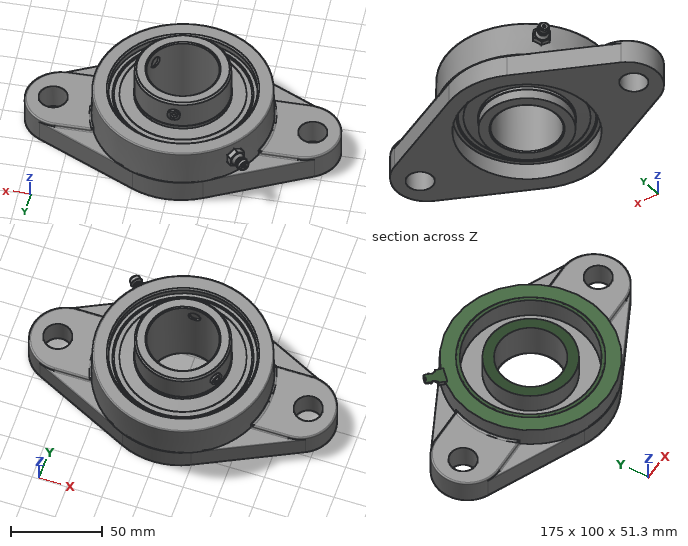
import cadquery as cq
import math

LENGTH = 175.0
WIDTH = 100.0
FLANGE_HEIGHT = 13.6
FLANGE_EDGE_FILLET = 0.4
SIDE_ARC_RADIUS = 45.0
EAR_RADIUS = 20.1
PAD_HEIGHT = 15.5
PAD_EDGE_FILLET = 0.9
PAD_FOOT_FILLET = 0.5
BOLT_HOLE_DIAMETER = 16.0
BOLT_SPACING = 143.8
BODY_HEIGHT = 35.9
BODY_FOOT_DIAMETER = WIDTH
BODY_TOP_DIAMETER = 98.9
BODY_TOP_FILLET = 0.7
BODY_ROOT_FILLET = 1.0
HOUSING_BORE_DIAMETER = 81.2
HOUSING_BORE_MOUTH_DIAMETER = 83.1

ear_offset = LENGTH / 2 - EAR_RADIUS
side_arc_offset = WIDTH / 2 - SIDE_ARC_RADIUS
body_foot_radius = BODY_FOOT_DIAMETER / 2
housing_bore_radius = HOUSING_BORE_DIAMETER / 2

BEARING_CENTER_Z = 21.0
OUTER_RING_WIDTH = 21.0
OUTER_RING_BORE_DIAMETER = 77.0
INNER_RING_TOP = 51.3
INNER_RING_BOTTOM = 2.0
INNER_RING_BORE_DIAMETER = 39.7
INNER_RING_DIAMETER = 52.8
INNER_RING_CHAMFER = 1.0
BORE_CHAMFER = 0.7

outer_ring_bottom = BEARING_CENTER_Z - OUTER_RING_WIDTH / 2
outer_ring_top = BEARING_CENTER_Z + OUTER_RING_WIDTH / 2
outer_ring_bore_radius = OUTER_RING_BORE_DIAMETER / 2
inner_ring_radius = INNER_RING_DIAMETER / 2

SEAL_THICKNESS = 1.8
SEAL_RIM_DIAMETER = 75.2
SEAL_RIM_GROOVE_DEPTH = 0.5
SEAL_DISC_DIAMETER = 69.3
SEAL_DISC_EDGE = 0.4
SEAL_DISC_RISE = 0.4
SEAL_LIP_DIAMETER = 53.5
SEAL_LIP_HEIGHT = 2.6

SCREW_DIAMETER = 6.8
SCREW_HEIGHT = 43.0
SCREW_ANGLES = (90, -30)
SCREW_INNER_END = 21.0
SCREW_OUTER_END = 27.8
SOCKET_ACROSS_CORNERS = 4.2
SOCKET_DEPTH = 1.8

NIPPLE_ANGLE = 135
NIPPLE_HEIGHT = 25.9
NIPPLE_HEX_ACROSS_CORNERS = 10.5
NIPPLE_SEAT = 48.1
NIPPLE_HEX_END = 52.7
NIPPLE_CONE_DIAMETER = 7.9
NIPPLE_CONE_END = 54.6
NIPPLE_NECK_DIAMETER = 5.2
NIPPLE_NECK_END = 55.6
NIPPLE_RIDGE_DIAMETER = 6.8
NIPPLE_RIDGE = 56.7
NIPPLE_HEAD_DIAMETER = 6.0
NIPPLE_HEAD_START = 57.0
NIPPLE_TIP = 59.8
NIPPLE_TIP_CHAMFER = 0.7
NIPPLE_HOLE_DIAMETER = 1.5
NIPPLE_HOLE_DEPTH = 0.9


def ring_solid(half_section):
    """Solid of revolution about Z from (radius, height) points."""
    return cq.Workplane("YZ").polyline(half_section).close().revolve(360, (0, 0), (0, 1))


def outward(angle):
    """Horizontal unit vector at the given angle from +X."""
    return (math.cos(math.radians(angle)), math.sin(math.radians(angle)), 0)


def radial_plane(angle, distance, height):
    """Workplane facing away from the Z axis, with its local X pointing up."""
    direction = outward(angle)
    origin = (distance * direction[0], distance * direction[1], height)
    return cq.Workplane(cq.Plane(origin=origin, xDir=(0, 0, 1), normal=direction))


def flange():
    """Rhomboid flange: ear arcs joined to the wide side arcs by their common tangents."""
    center_distance = math.hypot(ear_offset, side_arc_offset)
    angle = (
        math.atan2(side_arc_offset, ear_offset)
        + math.asin((SIDE_ARC_RADIUS - EAR_RADIUS) / center_distance)
    )
    ear_x = ear_offset + EAR_RADIUS * math.sin(angle)
    ear_y = EAR_RADIUS * math.cos(angle)
    side_x = SIDE_ARC_RADIUS * math.sin(angle)
    side_y = side_arc_offset + SIDE_ARC_RADIUS * math.cos(angle)
    return (
        cq.Workplane("XY")
        .moveTo(ear_x, -ear_y)
        .threePointArc((LENGTH / 2, 0), (ear_x, ear_y))
        .lineTo(side_x, side_y)
        .threePointArc((0, WIDTH / 2), (-side_x, side_y))
        .lineTo(-ear_x, ear_y)
        .threePointArc((-LENGTH / 2, 0), (-ear_x, -ear_y))
        .lineTo(-side_x, -side_y)
        .threePointArc((0, -WIDTH / 2), (side_x, -side_y))
        .close()
        .extrude(FLANGE_HEIGHT)
        .faces(">Z")
        .edges()
        .fillet(FLANGE_EDGE_FILLET)
    )


def pad():
    """Raised strip along the flange, with rounded ends flush with the ears."""
    return (
        cq.Workplane("XY")
        .slot2D(LENGTH, 2 * EAR_RADIUS)
        .extrude(PAD_HEIGHT)
        .faces(">Z")
        .edges()
        .fillet(PAD_EDGE_FILLET)
    )


def pad_foot():
    """Concave fillet along the foot of the +Y side of the pad."""
    return (
        cq.Workplane("YZ", origin=(-ear_offset, 0, 0))
        .moveTo(EAR_RADIUS, FLANGE_HEIGHT)
        .lineTo(EAR_RADIUS + PAD_FOOT_FILLET, FLANGE_HEIGHT)
        .radiusArc((EAR_RADIUS, FLANGE_HEIGHT + PAD_FOOT_FILLET), PAD_FOOT_FILLET)
        .close()
        .extrude(2 * ear_offset)
    )


def tapered_body():
    """Round body standing on the flange, rounded at its top edge."""
    body = ring_solid([
        (0, FLANGE_HEIGHT),
        (body_foot_radius, FLANGE_HEIGHT),
        (BODY_TOP_DIAMETER / 2, BODY_HEIGHT),
        (0, BODY_HEIGHT),
    ])
    return body.faces(">Z").edges().fillet(BODY_TOP_FILLET)


def body_root():
    """Concave fillet where the body meets the top of the pad."""
    inside = body_foot_radius - BODY_ROOT_FILLET
    ring = (
        cq.Workplane("YZ")
        .moveTo(inside, PAD_HEIGHT)
        .lineTo(body_foot_radius + BODY_ROOT_FILLET, PAD_HEIGHT)
        .radiusArc((body_foot_radius, PAD_HEIGHT + BODY_ROOT_FILLET), BODY_ROOT_FILLET)
        .lineTo(inside, PAD_HEIGHT + BODY_ROOT_FILLET)
        .close()
        .revolve(360, (0, 0), (0, 1))
    )
    pad_strip = cq.Workplane("XY").rect(LENGTH, 2 * EAR_RADIUS).extrude(BODY_HEIGHT)
    return ring.intersect(pad_strip)


def housing_bore():
    """Through bore for the outer ring, widened to a chamfered mouth at the top."""
    mouth_radius = HOUSING_BORE_MOUTH_DIAMETER / 2
    mouth_chamfer = mouth_radius - housing_bore_radius
    return ring_solid([
        (0, 0),
        (housing_bore_radius, 0),
        (housing_bore_radius, BODY_HEIGHT - mouth_chamfer),
        (mouth_radius, BODY_HEIGHT),
        (0, BODY_HEIGHT),
    ])


def bolt_holes():
    return (
        cq.Workplane("XY")
        .rarray(BOLT_SPACING, 1.8, 2, 1)
        .circle(BOLT_HOLE_DIAMETER / 2)
        .extrude(PAD_HEIGHT)
    )


def make_housing(nipple):
    """Housing with a seat that fits the hexagon of the grease nipple."""
    foot = pad_foot()
    return (
        flange()
        .union(pad())
        .union(foot)
        .union(foot.mirror("XZ"))
        .union(tapered_body())
        .union(body_root())
        .cut(housing_bore())
        .cut(bolt_holes())
        .cut(nipple)
    )


def make_outer_ring():
    return (
        cq.Workplane("XY", origin=(0, 0, outer_ring_bottom))
        .circle(housing_bore_radius)
        .circle(outer_ring_bore_radius)
        .extrude(OUTER_RING_WIDTH)
    )


def make_inner_ring():
    """Long sleeve with a chamfered bore and a threaded-size hole for each set screw."""
    bore_radius = INNER_RING_BORE_DIAMETER / 2
    ring = ring_solid([
        (bore_radius + BORE_CHAMFER, INNER_RING_BOTTOM),
        (inner_ring_radius, INNER_RING_BOTTOM),
        (inner_ring_radius, INNER_RING_TOP - INNER_RING_CHAMFER),
        (inner_ring_radius - INNER_RING_CHAMFER, INNER_RING_TOP),
        (bore_radius + BORE_CHAMFER, INNER_RING_TOP),
        (bore_radius, INNER_RING_TOP - BORE_CHAMFER),
        (bore_radius, INNER_RING_BOTTOM + BORE_CHAMFER),
    ])
    for angle in SCREW_ANGLES:
        hole = radial_plane(angle, 0, SCREW_HEIGHT).circle(SCREW_DIAMETER / 2)
        ring = ring.cut(hole.extrude(INNER_RING_DIAMETER))
    return ring


def make_top_seal():
    """Seal with a grooved rim, a slightly conical raised disc and a lip around the inner ring."""
    rim_radius = SEAL_RIM_DIAMETER / 2
    disc_radius = SEAL_DISC_DIAMETER / 2
    lip_radius = SEAL_LIP_DIAMETER / 2
    seal_bottom = outer_ring_top - SEAL_THICKNESS
    groove_floor = outer_ring_top - SEAL_RIM_GROOVE_DEPTH
    disc_edge_top = outer_ring_top + SEAL_DISC_EDGE
    lip_top = outer_ring_top + SEAL_LIP_HEIGHT
    return ring_solid([
        (inner_ring_radius, seal_bottom),
        (outer_ring_bore_radius, seal_bottom),
        (outer_ring_bore_radius, groove_floor),
        (rim_radius, groove_floor),
        (rim_radius, outer_ring_top),
        (disc_radius, outer_ring_top),
        (disc_radius, disc_edge_top),
        (lip_radius, disc_edge_top + SEAL_DISC_RISE),
        (lip_radius, lip_top),
        (inner_ring_radius, lip_top),
    ])


def make_set_screw(angle):
    """Headless screw with a hexagon socket in its outer end."""
    body = (
        radial_plane(angle, SCREW_INNER_END, SCREW_HEIGHT)
        .circle(SCREW_DIAMETER / 2)
        .extrude(SCREW_OUTER_END - SCREW_INNER_END)
    )
    socket = (
        radial_plane(angle, SCREW_OUTER_END - SOCKET_DEPTH, SCREW_HEIGHT)
        .polygon(6, SOCKET_ACROSS_CORNERS)
        .extrude(SOCKET_DEPTH)
    )
    return body.cut(socket)


def make_nipple():
    """Grease nipple: a hexagon with two corners up and down, and a turned head."""
    hexagon = (
        radial_plane(NIPPLE_ANGLE, NIPPLE_SEAT, NIPPLE_HEIGHT)
        .polygon(6, NIPPLE_HEX_ACROSS_CORNERS)
        .extrude(NIPPLE_HEX_END - NIPPLE_SEAT)
    )
    head_radius = NIPPLE_HEAD_DIAMETER / 2
    hole_radius = NIPPLE_HOLE_DIAMETER / 2
    hole_floor = NIPPLE_TIP - NIPPLE_HOLE_DEPTH
    axial_plane = cq.Plane(
        origin=(0, 0, NIPPLE_HEIGHT), xDir=(0, 0, 1), normal=outward(NIPPLE_ANGLE + 90)
    )
    head = (
        cq.Workplane(axial_plane)
        .polyline([
            (0, NIPPLE_HEX_END),
            (NIPPLE_CONE_DIAMETER / 2, NIPPLE_HEX_END),
            (NIPPLE_NECK_DIAMETER / 2, NIPPLE_CONE_END),
            (NIPPLE_NECK_DIAMETER / 2, NIPPLE_NECK_END),
            (NIPPLE_RIDGE_DIAMETER / 2, NIPPLE_RIDGE),
            (head_radius, NIPPLE_HEAD_START),
            (head_radius, NIPPLE_TIP - NIPPLE_TIP_CHAMFER),
            (head_radius - NIPPLE_TIP_CHAMFER, NIPPLE_TIP),
            (hole_radius, NIPPLE_TIP),
            (hole_radius, hole_floor),
            (0, hole_floor),
        ])
        .close()
        .revolve(360, (0, 0), (0, 1))
    )
    return hexagon.union(head)


nipple = make_nipple()
housing = make_housing(nipple)
outer_ring = make_outer_ring()
inner_ring = make_inner_ring()
top_seal = make_top_seal()
bottom_seal = top_seal.mirror("XY", (0, 0, BEARING_CENTER_Z))
set_screws = [make_set_screw(angle).val() for angle in SCREW_ANGLES]

result = cq.Compound.makeCompound([
    housing.val(),
    outer_ring.val(),
    inner_ring.val(),
    top_seal.val(),
    bottom_seal.val(),
    *set_screws,
    nipple.val(),
])